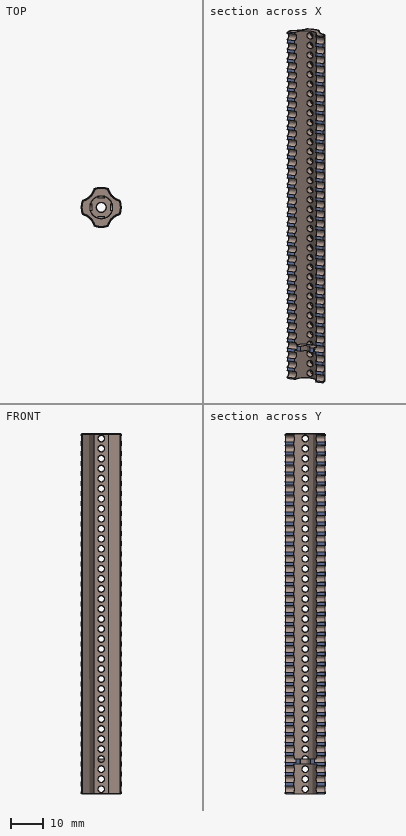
import cadquery as cq

OUTER_DIAMETER = 12.5
LOBE_COUNT = 4
LOBE_ANGLE = 360 / LOBE_COUNT
END_CHAMFER = 0.3

HOLE_COUNT = 36
HOLE_PITCH = OUTER_DIAMETER / 4
HOLE_DIAMETER = 2.0
HOLE_INNER_END = 2.9
LENGTH = HOLE_COUNT * HOLE_PITCH

FLUTE_RADIUS = 5.0
FLUTE_CENTRE_DISTANCE = 10.0

BORE_DIAMETER = 7.1
PLATE_BOTTOM = 3 * HOLE_PITCH
PLATE_TOP = 11.0
PLATE_HOLE_DIAMETER = 3.0


def cylinder(diameter, bottom, top):
    """Vertical cylinder on the part axis."""
    return cq.Workplane("XY").workplane(offset=bottom).circle(diameter / 2).extrude(top - bottom)


def fluted_bar():
    """Round bar with concave flutes that leave the lobes, chamfered at both ends."""
    flutes = (
        cq.Workplane("XY")
        .polarArray(FLUTE_CENTRE_DISTANCE, LOBE_ANGLE / 2, 360, LOBE_COUNT)
        .circle(FLUTE_RADIUS)
        .extrude(LENGTH)
    )
    bar = cylinder(OUTER_DIAMETER, 0, LENGTH).cut(flutes)
    return bar.faces("<Z or >Z").chamfer(END_CHAMFER)


def plate():
    """Disc inside the bore with a central screw hole."""
    disc = cylinder(BORE_DIAMETER, PLATE_BOTTOM, PLATE_TOP)
    return disc.cut(cylinder(PLATE_HOLE_DIAMETER, PLATE_BOTTOM, PLATE_TOP))


def side_hole_row():
    """Row of radial holes through the +X lobe; the one at plate height notches the plate rim."""
    positions = [(0, (i + 0.5) * HOLE_PITCH) for i in range(HOLE_COUNT)]
    row = cq.Workplane("YZ").workplane(offset=HOLE_INNER_END).pushPoints(positions)
    return row.circle(HOLE_DIAMETER / 2).extrude(OUTER_DIAMETER / 2)


result = fluted_bar().cut(cylinder(BORE_DIAMETER, 0, LENGTH)).union(plate())
hole_row = side_hole_row()
for lobe in range(LOBE_COUNT):
    result = result.cut(hole_row.rotate((0, 0, 0), (0, 0, 1), lobe * LOBE_ANGLE))